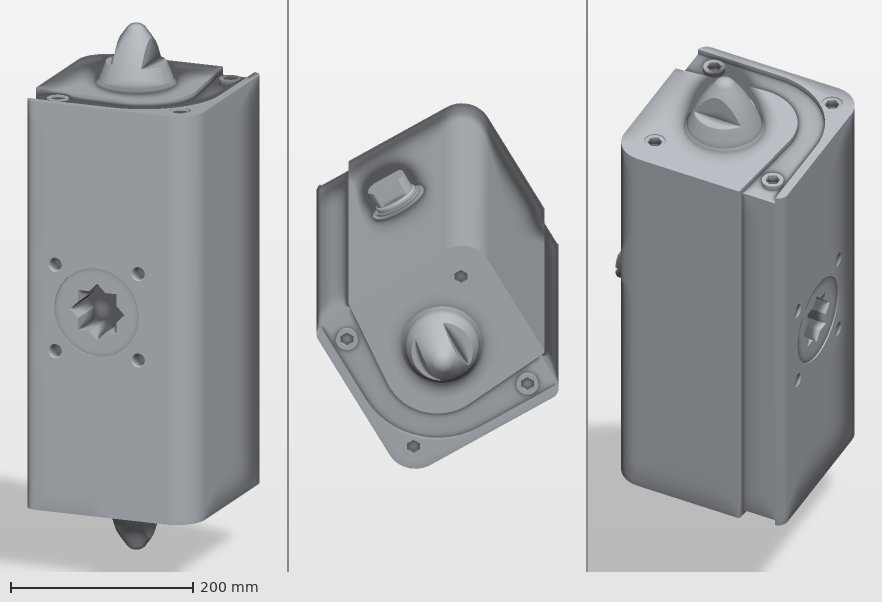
import cadquery as cq
import math

TOTAL_HEIGHT = 601.0
HOUSING_HALF = 233.0
NEAR_SIDE = 93.0
FAR_SIDE = 115.0
SHELF_SIDE = 86.0
NEAR_CORNER_RADIUS = 33.0
FAR_CORNER_RADIUS = 33.0
SHELF_CORNER_RADIUS = 12.0
STEP_EDGE_RADIUS = 2.1

PLATEAU_START = 65.5
PLATEAU_CORNER = 82.0
PLATEAU_RADIUS = 60.0
RIM_SIDE = 105.0
RIM_RADIUS = 90.0
VALLEY_DEPTH = 7.0

SCREW_NEAR = 57.0
SCREW_FAR = 88.0
SCREW_DIAMETER = 24.0
SCREW_SOCKET = 14.5
SCREW_SOCKET_DEPTH = 9.0
SCREW_TOP_GAP = 1.0

STOP_SKIRT_DIAMETER = 89.5
STOP_SKIRT_HEIGHT = 3.0
STOP_BASE_RADIUS = 41.5
STOP_MID_RADIUS = 33.5
STOP_FLAT_HEIGHT = 23.5
STOP_DOME_RADIUS = 12.0
STOP_DOME_HEIGHT = 60.0
STOP_BLADE = 35.0

MOUNT_OFFSET = 49.0
MOUNT_DIAMETER = 14.0
MOUNT_CHAMFER_DIAMETER = 16.0
MOUNT_DEPTH = 18.0
DRILL_POINT_ANGLE = 118.0
RECESS_DIAMETER = 100.5
RECESS_DEPTH = 2.0

SHAFT_DIAMETER = 92.0
SHAFT_START = RECESS_DEPTH - FAR_SIDE
STAR_SIDE = 45.5
STAR_DEPTH = 48.0
FLANGE_DIAMETER = 64.0
FLANGE_HEIGHT = 3.0
NECK_DIAMETER = 54.5
NECK_HEIGHT = 5.5
COLLAR_DIAMETER = 50.0
COLLAR_HEIGHT = 11.0
COLLAR_EDGE_RADIUS = 2.5
TANG_DIAMETER = 45.0
TANG_THICKNESS = 32.0
REAR_END = 123.0
SLOT_WIDTH = 4.0
SLOT_DEPTH = 4.0


def plateau_line(distance):
    """Offset of the plateau edge at a given distance along X or Y."""
    slope = (PLATEAU_CORNER - PLATEAU_START) / (PLATEAU_CORNER + SHELF_SIDE)
    return PLATEAU_CORNER - slope * (distance + PLATEAU_CORNER)


def rounded(solid, x, y, radius):
    """Round the vertical edge at (x, y)."""
    nearby = cq.selectors.BoxSelector((x - 0.5, y - 0.5, -TOTAL_HEIGHT), (x + 0.5, y + 0.5, TOTAL_HEIGHT))
    return solid.edges(nearby).fillet(radius)


def block():
    edge_out = plateau_line(NEAR_SIDE)
    edge_in = plateau_line(SHELF_SIDE)
    outline = [
        (-NEAR_SIDE, NEAR_SIDE),
        (edge_out, NEAR_SIDE),
        (edge_in, SHELF_SIDE),
        (FAR_SIDE, SHELF_SIDE),
        (FAR_SIDE, -FAR_SIDE),
        (-SHELF_SIDE, -FAR_SIDE),
        (-SHELF_SIDE, -edge_in),
        (-NEAR_SIDE, -edge_out),
    ]
    body = cq.Workplane("XY").workplane(offset=-HOUSING_HALF).polyline(outline).close()
    body = body.extrude(2 * HOUSING_HALF)
    body = rounded(body, -NEAR_SIDE, NEAR_SIDE, NEAR_CORNER_RADIUS)
    body = rounded(body, FAR_SIDE, -FAR_SIDE, FAR_CORNER_RADIUS)
    body = rounded(body, FAR_SIDE, SHELF_SIDE, SHELF_CORNER_RADIUS)
    body = rounded(body, -SHELF_SIDE, -FAR_SIDE, SHELF_CORNER_RADIUS)
    body = rounded(body, -NEAR_SIDE, -edge_out, STEP_EDGE_RADIUS)
    return body


def corner_prism(offset_at_end, corner, radius):
    """Upright region on the -X, +Y side of two edges meeting in a rounded corner."""
    far = 2 * FAR_SIDE
    prism = (
        cq.Workplane("XY")
        .workplane(offset=HOUSING_HALF - VALLEY_DEPTH)
        .polyline([(-far, far), (offset_at_end, far), (corner, -corner), (-far, -offset_at_end)])
        .close()
        .extrude(2 * VALLEY_DEPTH)
    )
    return rounded(prism, corner, -corner, radius)


def top_valley():
    inside_rim = corner_prism(RIM_SIDE, RIM_SIDE, RIM_RADIUS)
    plateau = corner_prism(plateau_line(2 * FAR_SIDE), PLATEAU_CORNER, PLATEAU_RADIUS)
    return inside_rim.cut(plateau)


def screw_places():
    return [(x, y) for x in (-SCREW_NEAR, SCREW_FAR) for y in (SCREW_NEAR, -SCREW_FAR)]


def top_screw_recesses():
    return (
        cq.Workplane("XY")
        .workplane(offset=HOUSING_HALF - SCREW_TOP_GAP)
        .pushPoints(screw_places())
        .circle(SCREW_DIAMETER / 2)
        .extrude(2 * SCREW_TOP_GAP)
    )


def top_screw_heads():
    seat = HOUSING_HALF - VALLEY_DEPTH
    return (
        cq.Workplane("XY")
        .workplane(offset=seat)
        .pushPoints(screw_places())
        .circle(SCREW_DIAMETER / 2)
        .extrude(VALLEY_DEPTH - SCREW_TOP_GAP)
    )


def top_screw_sockets():
    corner_diameter = SCREW_SOCKET / math.cos(math.radians(30))
    return (
        cq.Workplane("XY")
        .workplane(offset=HOUSING_HALF - SCREW_TOP_GAP)
        .pushPoints(screw_places())
        .polygon(6, corner_diameter)
        .extrude(-SCREW_SOCKET_DEPTH)
    )


def top_stop():
    tip = TOTAL_HEIGHT / 2 - HOUSING_HALF
    sphere = (STOP_DOME_RADIUS**2 + (tip - STOP_DOME_HEIGHT)**2) / (2 * (tip - STOP_DOME_HEIGHT))
    half = math.asin(STOP_DOME_RADIUS / sphere) / 2
    dome_mid = (sphere * math.sin(half), tip - sphere * (1 - math.cos(half)))
    cone = (
        cq.Workplane("XZ")
        .lineTo(STOP_SKIRT_DIAMETER / 2, 0)
        .lineTo(STOP_BASE_RADIUS, STOP_SKIRT_HEIGHT)
        .threePointArc((STOP_MID_RADIUS, STOP_FLAT_HEIGHT), (STOP_DOME_RADIUS, STOP_DOME_HEIGHT))
        .threePointArc(dome_mid, (0, tip))
        .close()
        .revolve(360, (0, 0), (0, 1))
    )
    width = STOP_SKIRT_DIAMETER
    blade = cq.Workplane("XY").box(STOP_BLADE, width, tip, centered=(True, True, False))
    base = cq.Workplane("XY").box(width, width, STOP_FLAT_HEIGHT, centered=(True, True, False))
    return cone.intersect(blade.union(base)).translate((0, 0, HOUSING_HALF))


def mirrored(top_feature):
    """Repeat a feature of the top end on the bottom end."""
    return top_feature.union(top_feature.mirror("XY"))


def mount_holes():
    mouth = MOUNT_CHAMFER_DIAMETER / 2
    radius = MOUNT_DIAMETER / 2
    point = radius / math.tan(math.radians(DRILL_POINT_ANGLE / 2))
    drill = (
        cq.Workplane("XY")
        .polyline([
            (0, 0),
            (mouth, 0),
            (radius, mouth - radius),
            (radius, MOUNT_DEPTH),
            (0, MOUNT_DEPTH + point),
        ])
        .close()
        .revolve(360, (0, 0), (0, 1))
    )
    holes = cq.Workplane("XY")
    for x in (-MOUNT_OFFSET, MOUNT_OFFSET):
        for z in (-MOUNT_OFFSET, MOUNT_OFFSET):
            holes = holes.add(drill.translate((x, -FAR_SIDE, z)))
    return holes.combine()


def cylinder_y(diameter, start, end):
    """Cylinder along Y about the shaft axis."""
    profile = cq.Workplane("XZ", origin=(0, start, 0)).circle(diameter / 2)
    return profile.extrude(start - end)


def make_housing():
    body = block().cut(mirrored(top_valley())).cut(mirrored(top_screw_recesses()))
    body = body.union(mirrored(top_screw_heads())).cut(mirrored(top_screw_sockets()))
    body = body.union(mirrored(top_stop()))
    body = body.cut(mount_holes())
    body = body.cut(cylinder_y(SHAFT_DIAMETER, SHAFT_START, NEAR_SIDE))
    return body.cut(cylinder_y(RECESS_DIAMETER, -FAR_SIDE, SHAFT_START))


def make_shaft():
    shaft = cylinder_y(SHAFT_DIAMETER, SHAFT_START, NEAR_SIDE)
    for diameter, height in (
        (FLANGE_DIAMETER, FLANGE_HEIGHT),
        (NECK_DIAMETER, NECK_HEIGHT),
        (COLLAR_DIAMETER, COLLAR_HEIGHT),
    ):
        shaft = shaft.union(cylinder_y(diameter, NEAR_SIDE, NEAR_SIDE + height))
    shaft = shaft.faces(">Y").edges().fillet(COLLAR_EDGE_RADIUS)

    tang = cylinder_y(TANG_DIAMETER, NEAR_SIDE, REAR_END)
    tang = tang.intersect(cq.Workplane("XY").box(TANG_DIAMETER, 3 * REAR_END, TANG_THICKNESS))
    slot = cq.Workplane("XY").box(TANG_DIAMETER, 2 * SLOT_DEPTH, SLOT_WIDTH).translate((0, REAR_END, 0))
    shaft = shaft.union(tang.cut(slot))

    pocket = cq.Workplane("XY").box(STAR_SIDE, 2 * STAR_DEPTH, STAR_SIDE).translate((0, SHAFT_START, 0))
    for turn in (0, 45):
        shaft = shaft.cut(pocket.rotate((0, 0, 0), (0, 1, 0), turn))
    return shaft


housing = make_housing()
shaft = make_shaft()

result = cq.Compound.makeCompound([housing.val(), shaft.val()])